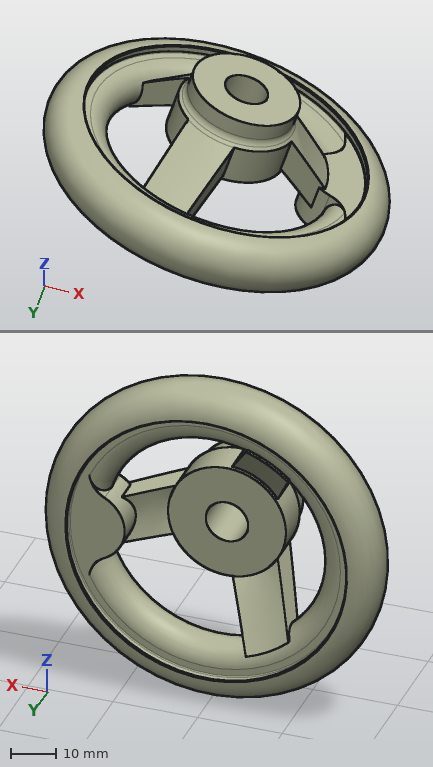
import cadquery as cq
import math

outer_radius = 40.0
total_depth = 28.95

rim_split_radius = 66.0 / 2
rim_round = outer_radius - rim_split_radius
step_fillet = 0.2
rim_center_y = total_depth - rim_round
core_center_radius = 31.0
core_round = 5.1
core_front_y = rim_center_y - core_round
core_depth = 2 * core_round

bore_radius = 10.0 / 2
nose_radius = 25.0 / 2
hub_radius = 13.9
hub_back_y = 15.35
cone_offset = 7.6
neck_radius = 2.3

spoke_count = 3
spoke_thickness = 8.0
spoke_half_width_inner = 6.55
spoke_half_width_outer = 5.75
spoke_root_radius = 12.0
spoke_end_radius = 28.0

boss_center_x = 28.7
boss_radius = 8.8
boss_blend_radius = 6.8
boss_edge_x = 28.3
boss_rise = 0.1


def revolve_about_axis(profile):
    """Turn an XY profile (X = radius) a full circle about the wheel axis."""
    return profile.close().revolve(360, (0, 0, 0), (0, 1, 0))


def extrude_back(profile, start_y, depth):
    """Extrude an XZ-plane outline from start_y towards +Y."""
    return profile.extrude(-depth).translate((0, start_y, 0))


def make_rim():
    core_back_y = rim_center_y + core_round
    rim = revolve_about_axis(
        cq.Workplane("XY")
        .moveTo(rim_split_radius, core_front_y)
        .lineTo(core_center_radius, core_front_y)
        .threePointArc(
            (core_center_radius - core_round, rim_center_y),
            (core_center_radius, core_back_y),
        )
        .lineTo(rim_split_radius, core_back_y)
        .lineTo(rim_split_radius, rim_center_y + rim_round)
        .threePointArc((outer_radius, rim_center_y), (rim_split_radius, rim_center_y - rim_round))
    )
    step_edges = rim.edges("%CIRCLE").filter(
        lambda edge: abs(edge.radius() - rim_split_radius) < 0.001
    )
    return rim.newObject(step_edges.vals()).fillet(step_fillet)


def make_hub():
    slope = math.radians(45)
    neck_end_radius = nose_radius + neck_radius * (1 - math.cos(slope))
    neck_end_y = neck_end_radius - cone_offset
    neck_start_y = neck_end_y - neck_radius * math.sin(slope)
    neck_mid = (
        nose_radius + neck_radius * (1 - math.cos(slope / 2)),
        neck_start_y + neck_radius * math.sin(slope / 2),
    )
    return revolve_about_axis(
        cq.Workplane("XY")
        .lineTo(nose_radius, 0)
        .lineTo(nose_radius, neck_start_y)
        .threePointArc(neck_mid, (neck_end_radius, neck_end_y))
        .lineTo(hub_radius, hub_radius - cone_offset)
        .lineTo(hub_radius, hub_back_y)
        .lineTo(0, hub_back_y)
    )


def make_spokes():
    inner_y = hub_radius - cone_offset
    outer_y = spoke_end_radius - cone_offset
    core_back_y = core_front_y + core_depth
    shell = revolve_about_axis(
        cq.Workplane("XY")
        .moveTo(hub_radius, inner_y)
        .lineTo(spoke_end_radius, outer_y)
        .lineTo(spoke_end_radius, core_back_y)
        .lineTo(hub_radius, inner_y + spoke_thickness)
        .lineTo(spoke_root_radius, inner_y + spoke_thickness / 2)
    )
    outline = (
        cq.Workplane("XZ")
        .moveTo(0, -spoke_half_width_inner)
        .lineTo(spoke_end_radius, -spoke_half_width_outer)
        .lineTo(spoke_end_radius, spoke_half_width_outer)
        .lineTo(0, spoke_half_width_inner)
        .close()
    )
    spoke = extrude_back(outline, 0, total_depth).intersect(shell)
    spokes = cq.Workplane("XY")
    for index in range(spoke_count):
        spokes = spokes.add(spoke.rotate((0, 0, 0), (0, 1, 0), index * 360 / spoke_count))
    return spokes.combine()


def make_boss():
    blend_x = boss_edge_x - boss_blend_radius
    center_distance = boss_radius + boss_blend_radius
    blend_z = math.sqrt(center_distance**2 - (boss_center_x - blend_x) ** 2)
    share = boss_radius / center_distance
    tangent_x = boss_center_x + (blend_x - boss_center_x) * share
    tangent_z = blend_z * share
    mid_angle = math.atan2(tangent_z - blend_z, tangent_x - blend_x) / 2
    mid_x = blend_x + boss_blend_radius * math.cos(mid_angle)
    mid_z = blend_z + boss_blend_radius * math.sin(mid_angle)
    edge_z = math.sqrt(rim_split_radius**2 - boss_edge_x**2)
    outline = (
        cq.Workplane("XZ")
        .moveTo(boss_edge_x, -edge_z)
        .lineTo(boss_edge_x, -blend_z)
        .threePointArc((mid_x, -mid_z), (tangent_x, -tangent_z))
        .threePointArc((boss_center_x - boss_radius, 0), (tangent_x, tangent_z))
        .threePointArc((mid_x, mid_z), (boss_edge_x, blend_z))
        .lineTo(boss_edge_x, edge_z)
        .threePointArc((rim_split_radius, 0), (boss_edge_x, -edge_z))
        .close()
    )
    return extrude_back(outline, core_front_y - boss_rise, core_depth + boss_rise)


bore = extrude_back(cq.Workplane("XZ").circle(bore_radius), 0, total_depth)
result = make_rim().union(make_hub()).union(make_spokes()).union(make_boss()).cut(bore)